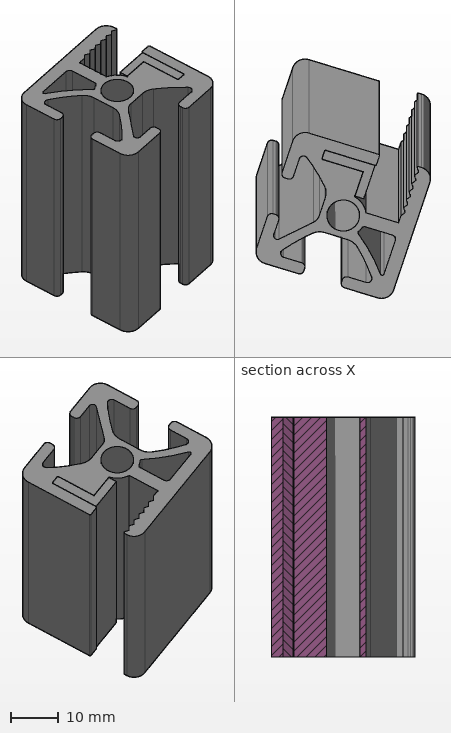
import cadquery as cq
import math

SIZE = 30.0
HALF = SIZE / 2
LENGTH = 50.0
CORNER_R = 2.7
BORE_R = 3.4
HUB_R = 4.75

SLOT_FACE = HUB_R
OPENING_HALF = 4.1
LIP_THICKNESS = 2.5
LIP_INNER = HALF - LIP_THICKNESS
LIP_R = 0.95
FLANK_R = 3.6
FLANK_ANGLE = 42.5
FLANK_START = 2.5
CHAMBER_HALF = 10.75
POCKET_R = 0.9

DEEP_FLANK_R = 2.5
DEEP_FLANK_ANGLE = 45.0
DEEP_FLANK_START = 1.55
DEEP_POCKET_R = 0.8

CAVITY_LEFT = -12.0
CAVITY_TOP = -0.95
CAVITY_NOSE_Y = -2.65
CAVITY_RIB_MID = (-8.05, -6.2)
CAVITY_TIP = (-12.0, -10.8)
CAVITY_CORNER_R = 1.0
CAVITY_HUB_R = 0.6
CAVITY_SMALL_R = 0.4

GAP_FLOOR = 2.0
TOOTH_TIP_X = -11.45
TOOTH_DEPTH = 0.6
TOOTH_PITCH = 1.85
TOOTH_COUNT = 6
FIRST_VALLEY_Y = 4.55
JAW_X = -3.2
EDGE_R = 0.25

STRIP_LEFT = -2.95
STRIP_LEG_RIGHT = -1.05
STRIP_ARM_RIGHT = 8.0
STRIP_TOP = 12.45
STRIP_ARM_BOTTOM = 10.4
STRIP_BOTTOM = 4.8
SEAT_PLAY = 0.05
SEAT_TOP = STRIP_TOP + SEAT_PLAY

EDGE_BOX = 0.025


def block(x_min, x_max, y_min, y_max):
    """Full-length block with the given X and Y limits."""
    return (cq.Workplane("XY")
            .center((x_min + x_max) / 2, (y_min + y_max) / 2)
            .rect(x_max - x_min, y_max - y_min)
            .extrude(LENGTH))


def round_edges(body, corners, radius):
    """Round the lengthwise edges that pass through the given (x, y) corners."""
    for x, y in corners:
        low = (x - EDGE_BOX, y - EDGE_BOX, -0.5)
        high = (x + EDGE_BOX, y + EDGE_BOX, LENGTH + 0.5)
        body = body.edges("|Z").edges(cq.selectors.BoxSelector(low, high)).fillet(radius)
    return body


def flank_arc(start, radius, turn):
    """Middle and end point of the arc that turns the slot floor by some degrees, as (width, depth)."""
    points = []
    for degrees in (turn / 2, turn):
        angle = math.radians(degrees)
        width = start + radius * math.sin(angle)
        depth = SLOT_FACE + radius * (1 - math.cos(angle))
        points.append((width, depth))
    return points


def half_slot():
    """Half of a T-slot: the +X half of the slot that opens on -Y."""
    arc_mid, arc_end = flank_arc(FLANK_START, FLANK_R, FLANK_ANGLE)
    half = (cq.Workplane("XY")
            .moveTo(0, -SLOT_FACE)
            .lineTo(FLANK_START, -SLOT_FACE)
            .threePointArc((arc_mid[0], -arc_mid[1]), (arc_end[0], -arc_end[1]))
            .tangentArcPoint((CHAMBER_HALF, -LIP_INNER), relative=False)
            .lineTo(OPENING_HALF, -LIP_INNER)
            .lineTo(OPENING_HALF, -HALF)
            .lineTo(0, -HALF)
            .close()
            .extrude(LENGTH))
    half = round_edges(half, [(CHAMBER_HALF, -LIP_INNER)], POCKET_R)
    return round_edges(half, [(OPENING_HALF, -LIP_INNER)], LIP_R)


def deep_half_slot():
    """Lower half of the slot that opens on +X; its flank runs straight to the lip."""
    arc_mid, arc_end = flank_arc(DEEP_FLANK_START, DEEP_FLANK_R, DEEP_FLANK_ANGLE)
    flank_run = LIP_INNER - arc_end[1]
    pocket_bottom = -(arc_end[0] + flank_run / math.tan(math.radians(DEEP_FLANK_ANGLE)))
    half = (cq.Workplane("XY")
            .moveTo(SLOT_FACE, 0)
            .lineTo(SLOT_FACE, -DEEP_FLANK_START)
            .threePointArc((arc_mid[1], -arc_mid[0]), (arc_end[1], -arc_end[0]))
            .lineTo(LIP_INNER, pocket_bottom)
            .lineTo(LIP_INNER, -OPENING_HALF)
            .lineTo(HALF, -OPENING_HALF)
            .lineTo(HALF, 0)
            .close()
            .extrude(LENGTH))
    half = round_edges(half, [(LIP_INNER, pocket_bottom)], DEEP_POCKET_R)
    return round_edges(half, [(LIP_INNER, -OPENING_HALF)], LIP_R)


def cavity():
    """Closed triangular cavity between the -X wall and the diagonal rib."""
    hub_top, hub_mid, nose = [
        (-math.sqrt(HUB_R ** 2 - y ** 2), y)
        for y in (CAVITY_TOP, (CAVITY_TOP + CAVITY_NOSE_Y) / 2, CAVITY_NOSE_Y)
    ]
    body = (cq.Workplane("XY")
            .moveTo(CAVITY_LEFT, CAVITY_TOP)
            .lineTo(*hub_top)
            .threePointArc(hub_mid, nose)
            .threePointArc(CAVITY_RIB_MID, CAVITY_TIP)
            .close()
            .extrude(LENGTH))
    body = round_edges(body, [(CAVITY_LEFT, CAVITY_TOP)], CAVITY_CORNER_R)
    body = round_edges(body, [hub_top], CAVITY_HUB_R)
    return round_edges(body, [nose, CAVITY_TIP], CAVITY_SMALL_R)


def clamping_gap():
    """Gap between the toothed wall and the jaw, reaching under the strip down to the hub."""
    valley_x = TOOTH_TIP_X - TOOTH_DEPTH
    outline = [(TOOTH_TIP_X, GAP_FLOOR)]
    for i in range(TOOTH_COUNT):
        valley_y = FIRST_VALLEY_Y + i * TOOTH_PITCH
        outline.append((TOOTH_TIP_X, valley_y - TOOTH_PITCH / 2))
        outline.append((valley_x, valley_y))
    last_tip_y = FIRST_VALLEY_Y + (TOOTH_COUNT - 0.5) * TOOTH_PITCH
    outline.append((TOOTH_TIP_X, last_tip_y))
    outline.append((TOOTH_TIP_X, HALF))
    outline.append((JAW_X, HALF))
    outline.append((JAW_X, GAP_FLOOR))
    gap = cq.Workplane("XY").polyline(outline).close().extrude(LENGTH)
    under_strip = block(JAW_X, STRIP_LEG_RIGHT + SEAT_PLAY, GAP_FLOOR, SEAT_TOP)
    hub = cq.Workplane("XY").circle(HUB_R).extrude(LENGTH)
    return gap.union(under_strip).cut(hub)


def make_strip():
    """L-shaped strip: a leg along the gap and an arm held under the jaw lip."""
    leg = block(STRIP_LEFT, STRIP_LEG_RIGHT, STRIP_BOTTOM, STRIP_TOP)
    arm = block(STRIP_LEFT, STRIP_ARM_RIGHT, STRIP_ARM_BOTTOM, STRIP_TOP)
    arm_end = [(STRIP_ARM_RIGHT, STRIP_ARM_BOTTOM), (STRIP_ARM_RIGHT, STRIP_TOP)]
    return round_edges(leg.union(arm), arm_end, EDGE_R)


def strip_seat():
    """Pocket for the strip's arm, with play all around."""
    right = STRIP_ARM_RIGHT + SEAT_PLAY
    bottom = STRIP_ARM_BOTTOM - SEAT_PLAY
    seat = block(STRIP_LEFT, right, bottom, SEAT_TOP)
    return round_edges(seat, [(right, bottom), (right, SEAT_TOP)], EDGE_R)


def make_profile():
    """Square profile with two T-slots, a cavity, a bore, the clamping gap and the strip seat."""
    profile = block(-HALF, HALF, -HALF, HALF).edges("|Z").fillet(CORNER_R)
    profile = profile.cut(cq.Workplane("XY").circle(BORE_R).extrude(LENGTH))

    half = half_slot()
    profile = profile.cut(half).cut(half.mirror("YZ"))
    upper_half = half.rotate((0, 0, 0), (0, 0, 1), 90)
    profile = profile.cut(upper_half).cut(deep_half_slot())

    profile = profile.cut(cavity()).cut(clamping_gap()).cut(strip_seat())

    lip_ends = [
        (-OPENING_HALF, -HALF),
        (OPENING_HALF, -HALF),
        (HALF, -OPENING_HALF),
        (HALF, OPENING_HALF),
    ]
    profile = round_edges(profile, lip_ends, LIP_R)
    gap_edges = [(TOOTH_TIP_X, HALF), (JAW_X, HALF), (JAW_X, SEAT_TOP)]
    return round_edges(profile, gap_edges, EDGE_R)


strip = make_strip()
profile = make_profile()

result = cq.Compound.makeCompound([profile.val(), strip.val()])